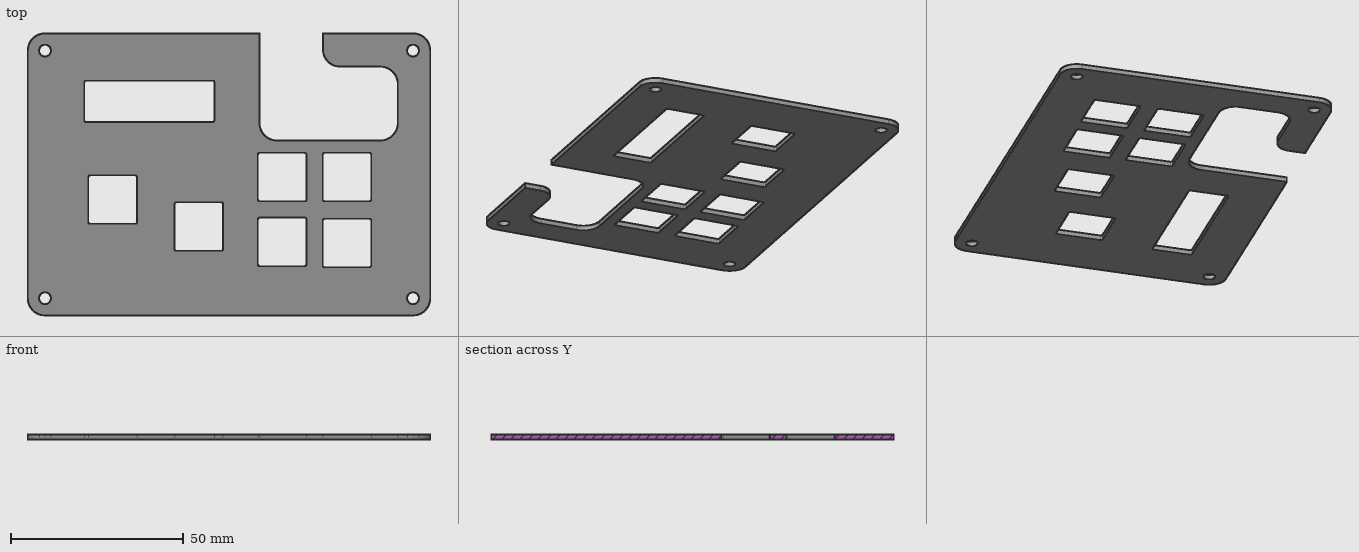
import cadquery as cq

length = 117.0
width = 82.0
thickness = 1.5
corner_radius = 5.0

hole_diameter = 3.4
hole_inset = corner_radius

key_size = 14.0
window_radius = 0.5
key_centres = [
    (24.7, 33.7),
    (49.7, 25.9),
    (74.0, 40.2),
    (92.8, 40.2),
    (74.0, 21.4),
    (92.8, 21.1),
]

display_length = 37.8
display_width = 11.9
display_centre = (35.3, 62.2)

notch_left = 67.4
notch_right = 107.5
notch_bottom = 50.9
notch_ledge = 72.3
mouth_right = 85.8
notch_radius = 5.0


def make_plate():
    plate = cq.Workplane("XY").box(length, width, thickness, centered=False)
    return plate.edges("|Z").fillet(corner_radius)


def window(size_x, size_y, centre):
    """Rectangular through cutter with slightly rounded corners."""
    block = cq.Workplane("XY").center(*centre).rect(size_x, size_y).extrude(thickness)
    return block.edges("|Z").fillet(window_radius)


def notch():
    """L-shaped through cutter; only its mouth on the back edge stays sharp."""
    outline = [
        (notch_left, width),
        (notch_left, notch_bottom),
        (notch_right, notch_bottom),
        (notch_right, notch_ledge),
        (mouth_right, notch_ledge),
        (mouth_right, width),
    ]
    block = cq.Workplane("XY").polyline(outline).close().extrude(thickness)
    inner_edges = block.edges("|Z").edges("not >Y")
    return inner_edges.fillet(notch_radius)


def mounting_holes():
    centres = [
        (x, y)
        for x in (hole_inset, length - hole_inset)
        for y in (hole_inset, width - hole_inset)
    ]
    return cq.Workplane("XY").pushPoints(centres).circle(hole_diameter / 2).extrude(thickness)


result = make_plate().cut(mounting_holes()).cut(notch())
result = result.cut(window(display_length, display_width, display_centre))
for key_centre in key_centres:
    result = result.cut(window(key_size, key_size, key_centre))